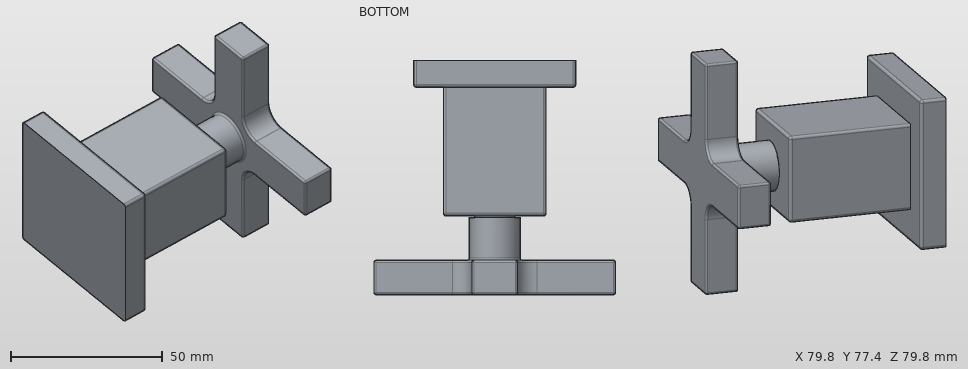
import cadquery as cq

total_depth = 77.4
handle_span = 79.75

plate_width = 53.5
plate_height = 51.8
plate_depth = 8.9

body_width = 34.0
body_height = 29.75
body_end = 51.4

stem_diameter = 17.0
neck_diameter = 13.3
neck_length = 0.55
stem_flare_radius = 0.7

arm_width = 15.0
handle_depth = 11.4
arm_root_radius = 6.4

block_edge_radius = 0.95
handle_edge_radius = 0.7

handle_start = total_depth - handle_depth
stem_start = body_end + neck_length


def box_along_y(width, height, y_start, y_end):
    """Box centred on the Y axis, running from y_start to y_end."""
    depth = y_end - y_start
    return cq.Workplane("XY").box(width, depth, height).translate((0, y_start + depth / 2, 0))


def cylinder_along_y(diameter, y_start, y_end):
    """Cylinder on the Y axis, running from y_start to y_end."""
    base = cq.Workplane("XZ", origin=(0, y_start, 0))
    return base.circle(diameter / 2).extrude(y_start - y_end)


def rounded_block(width, height, y_start, y_end):
    """Block with rounded long edges and a rounded rim on its +Y face."""
    block = box_along_y(width, height, y_start, y_end)
    return block.edges("|Y or >Y").fillet(block_edge_radius)


def cross_handle():
    """Four equal arms with rounded inner corners and softened outer edges."""
    across = box_along_y(handle_span, arm_width, handle_start, total_depth)
    upright = box_along_y(arm_width, handle_span, handle_start, total_depth)
    cross = across.union(upright)

    root_box = cq.selectors.BoxSelector(
        (-arm_width, handle_start, -arm_width),
        (arm_width, total_depth, arm_width),
    )
    cross = cross.edges("|Y").edges(root_box).fillet(arm_root_radius)

    tip_edges = "(<X or >X or <Z or >Z) and |Y"
    return cross.edges(f"({tip_edges}) or <Y or >Y").fillet(handle_edge_radius)


def handle_with_stem():
    """Cross handle with its stem, flared where the stem meets the handle."""
    stem = cylinder_along_y(stem_diameter, stem_start, handle_start)
    joined = cross_handle().union(stem)
    joint_edge = cq.selectors.NearestToPointSelector((0, handle_start, stem_diameter / 2))
    return joined.edges("%CIRCLE").edges(joint_edge).fillet(stem_flare_radius)


plate = rounded_block(plate_width, plate_height, 0, plate_depth)
body = rounded_block(body_width, body_height, plate_depth, body_end)
neck = cylinder_along_y(neck_diameter, body_end, stem_start)

result = plate.union(body).union(neck).union(handle_with_stem())